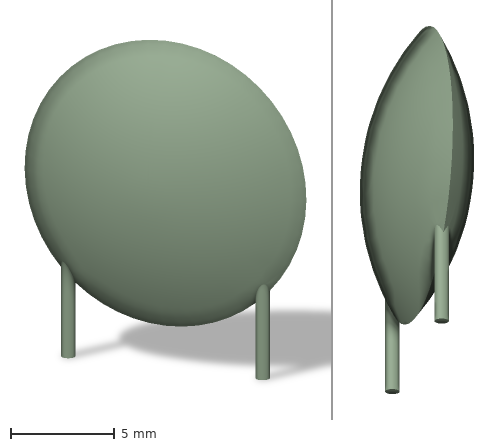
import cadquery as cq
import math

body_diameter = 14.5
body_thickness = 5.0
body_radius = body_diameter / 2
half_thickness = body_thickness / 2

lead_diameter = 0.7
lead_spacing = 10.0
lead_drop = 2.1
lead_top_drop = 4.0

lead_bottom_z = -body_radius - lead_drop
lead_length = -lead_top_drop - lead_bottom_z


def make_body():
    """Revolve half of the lens section about the Y axis."""
    sphere_radius = (body_radius**2 + half_thickness**2) / body_thickness
    mid_z = body_radius / 2
    mid_y = math.sqrt(sphere_radius**2 - mid_z**2) - (sphere_radius - half_thickness)
    return (
        cq.Workplane("YZ")
        .moveTo(-half_thickness, 0)
        .threePointArc((-mid_y, mid_z), (0, body_radius))
        .threePointArc((mid_y, mid_z), (half_thickness, 0))
        .close()
        .revolve(360, (0, 0, 0), (1, 0, 0))
    )


def make_lead(x):
    """Vertical lead whose upper end is buried in the body."""
    base_plane = cq.Plane(origin=(x, 0, lead_bottom_z), xDir=(0, 1, 0), normal=(0, 0, 1))
    return (
        cq.Workplane(base_plane)
        .circle(lead_diameter / 2)
        .extrude(lead_length)
    )


result = make_body()
for lead_x in (-lead_spacing / 2, lead_spacing / 2):
    result = result.union(make_lead(lead_x))